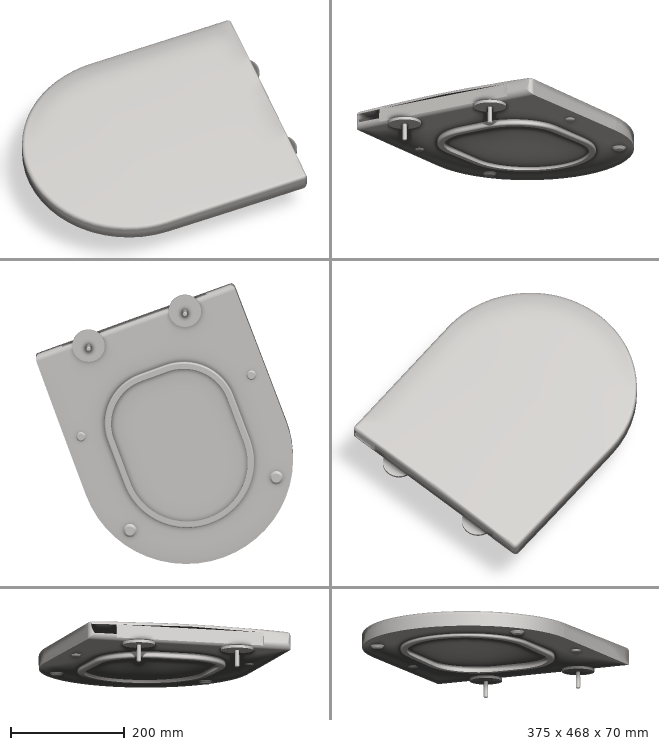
import cadquery as cq
import math


LID_HALF_WIDTH = 187.5
LID_REAR_NARROWING = 1.5
LID_REAR_Y = 14.5
LID_REAR_TOP_Y = 11.0
LID_FRONT_Y = -439.5
HINGE_RELIEF_HALF_WIDTH = 135.2
HINGE_RELIEF_Y = 12.5
LID_HEIGHT = 36.0
LID_CORNER_RADIUS = 9.5
LID_REAR_ROUND = 10.5
LID_TOP_ROUND = 5.5
TRIM_MARGIN = 4.5
CROWN_RADIUS_ACROSS = 3556.5
CROWN_RADIUS_ALONG = 11698.5
CROWN_SWEEP = 4.0
CROWN_MARGIN = 47.0

RIM_HALF_WIDTH = 118.0
RIM_REAR_Y = -78.5
RIM_FRONT_Y = -374.5
RIM_REAR_DEPTH = 10.5
RIM_FRONT_DEPTH = 5.0
RIM_WALL = 11.5
RIM_CORNER_RADIUS = 93.5
RIM_ROUND = 3.0

HINGE_X = 90.5
HINGE_PLATE_DIAMETER = 57.0
HINGE_PLATE_THICKNESS = 4.5
PIN_COLLAR_DIAMETER = 7.5
PIN_SHANK_DIAMETER = 8.0
PIN_COLLAR_END_Z = -13.5
PIN_END_Z = -34.0
PIN_TIP_CHAMFER = 1.5

FRONT_BUMPER_X = 137.0
FRONT_BUMPER_Y = -337.0
FRONT_BUMPER_DIAMETER = 24.0
FRONT_BUMPER_HEIGHT = 4.5
REAR_BUMPER_X = 159.5
REAR_BUMPER_Y = -149.5
REAR_BUMPER_DIAMETER = 17.0
REAR_BUMPER_HEIGHT = 3.0
BUMPER_CHAMFER_SHARE = 0.8

SIDES = (-1, 1)


def crowned_block():
    """Block whose top curves down gently toward both sides and toward the front."""
    half_width = LID_HALF_WIDTH + CROWN_MARGIN
    side_drop = CROWN_RADIUS_ACROSS - math.sqrt(CROWN_RADIUS_ACROSS**2 - half_width**2)
    return (
        cq.Workplane("XZ", origin=(0, LID_REAR_Y, 0))
        .moveTo(-half_width, -CROWN_MARGIN)
        .lineTo(-half_width, LID_HEIGHT - side_drop)
        .threePointArc((0, LID_HEIGHT), (half_width, LID_HEIGHT - side_drop))
        .lineTo(half_width, -CROWN_MARGIN)
        .close()
        .revolve(
            CROWN_SWEEP,
            (0, LID_HEIGHT - CROWN_RADIUS_ALONG, 0),
            (1, LID_HEIGHT - CROWN_RADIUS_ALONG, 0),
        )
    )


def lid_prism():
    """Plan outline: slightly bulging sides that run smoothly into a semicircular front."""
    arc_y = LID_FRONT_Y + LID_HALF_WIDTH
    side_middle = (LID_HALF_WIDTH - LID_REAR_NARROWING / 4, (LID_REAR_Y + arc_y) / 2)
    rear_half_width = LID_HALF_WIDTH - LID_REAR_NARROWING
    arc_reach = LID_HALF_WIDTH * math.sin(math.radians(45))
    return (
        cq.Workplane("XY")
        .moveTo(rear_half_width, LID_REAR_Y)
        .threePointArc(side_middle, (LID_HALF_WIDTH, arc_y))
        .threePointArc((arc_reach, arc_y - arc_reach), (0, LID_FRONT_Y))
        .threePointArc((-arc_reach, arc_y - arc_reach), (-LID_HALF_WIDTH, arc_y))
        .threePointArc((-side_middle[0], side_middle[1]), (-rear_half_width, LID_REAR_Y))
        .close()
        .extrude(LID_HEIGHT + TRIM_MARGIN)
        .edges("|Z and >Y")
        .fillet(LID_CORNER_RADIUS)
    )


def rear_profile_block():
    """Block that leans the rear wall forward and rounds its lower edge."""
    round_center_y = LID_REAR_Y - LID_REAR_ROUND
    round_offset = LID_REAR_ROUND * math.sin(math.radians(45))
    front_y = LID_FRONT_Y - TRIM_MARGIN
    top_z = LID_HEIGHT + TRIM_MARGIN
    return (
        cq.Workplane("YZ")
        .moveTo(front_y, 0)
        .lineTo(round_center_y, 0)
        .threePointArc(
            (round_center_y + round_offset, LID_REAR_ROUND - round_offset), (LID_REAR_Y, LID_REAR_ROUND)
        )
        .lineTo(LID_REAR_TOP_Y, top_z)
        .lineTo(front_y, top_z)
        .close()
        .extrude(LID_HALF_WIDTH + TRIM_MARGIN, both=True)
    )


def hinge_relief():
    """Flat cut that takes the bulge off the rear wall above the hinges."""
    return cq.Workplane("XY", origin=(0, HINGE_RELIEF_Y, 0)).box(
        2 * HINGE_RELIEF_HALF_WIDTH, TRIM_MARGIN, LID_HEIGHT, centered=(True, False, False)
    )


def make_lid():
    """Lid with a crowned top and a rounded top edge."""
    lid = lid_prism().intersect(rear_profile_block()).intersect(crowned_block())
    return lid.faces(">Z").edges().fillet(LID_TOP_ROUND).cut(hinge_relief())


def rim_prism(inset):
    """The rim's plan outline moved inward by the inset: a semicircular front and large rear corners."""
    half_width = RIM_HALF_WIDTH - inset
    rear_y = RIM_REAR_Y - inset
    front_y = RIM_FRONT_Y + inset
    arc_y = front_y + half_width
    return (
        cq.Workplane("XY")
        .moveTo(-half_width, rear_y)
        .lineTo(-half_width, arc_y)
        .threePointArc((0, front_y), (half_width, arc_y))
        .lineTo(half_width, rear_y)
        .close()
        .extrude(-RIM_REAR_DEPTH)
        .edges("|Z and >Y")
        .fillet(RIM_CORNER_RADIUS - inset)
    )


def make_seat_rim():
    """Rim around the seat opening, deeper at the rear than at the front."""
    sloped_block = (
        cq.Workplane("YZ")
        .polyline(
            [
                (RIM_REAR_Y, 0),
                (RIM_REAR_Y, -RIM_REAR_DEPTH),
                (RIM_FRONT_Y, -RIM_FRONT_DEPTH),
                (RIM_FRONT_Y, 0),
            ]
        )
        .close()
        .extrude(RIM_HALF_WIDTH, both=True)
    )
    rim = rim_prism(0).intersect(sloped_block)
    rim = rim.faces("<Z").edges().fillet(RIM_ROUND)
    return rim.cut(rim_prism(RIM_WALL))


def make_hinge_plate(side):
    """Round plate under the lid's rear edge."""
    return (
        cq.Workplane("XY", origin=(side * HINGE_X, 0, 0))
        .circle(HINGE_PLATE_DIAMETER / 2)
        .extrude(-HINGE_PLATE_THICKNESS)
    )


def make_hinge_pin(side):
    """Pin under the hinge plate: a short collar above a slightly thicker shank."""
    collar = (
        cq.Workplane("XY", origin=(side * HINGE_X, 0, PIN_COLLAR_END_Z))
        .circle(PIN_COLLAR_DIAMETER / 2)
        .extrude(-HINGE_PLATE_THICKNESS - PIN_COLLAR_END_Z)
    )
    shank = (
        cq.Workplane("XY", origin=(side * HINGE_X, 0, PIN_END_Z))
        .circle(PIN_SHANK_DIAMETER / 2)
        .extrude(PIN_COLLAR_END_Z - PIN_END_Z)
        .faces("<Z")
        .chamfer(PIN_TIP_CHAMFER)
    )
    return collar.union(shank)


def make_bumper(x, y, diameter, height):
    """Low round pad with a bevelled lower edge."""
    return (
        cq.Workplane("XY", origin=(x, y, 0))
        .circle(diameter / 2)
        .extrude(-height)
        .faces("<Z")
        .chamfer(height * BUMPER_CHAMFER_SHARE)
    )


lid = make_lid()
seat_rim = make_seat_rim()
hinge_plates = [make_hinge_plate(side) for side in SIDES]
hinge_pins = [make_hinge_pin(side) for side in SIDES]
front_bumpers = [
    make_bumper(side * FRONT_BUMPER_X, FRONT_BUMPER_Y, FRONT_BUMPER_DIAMETER, FRONT_BUMPER_HEIGHT)
    for side in SIDES
]
rear_bumpers = [
    make_bumper(side * REAR_BUMPER_X, REAR_BUMPER_Y, REAR_BUMPER_DIAMETER, REAR_BUMPER_HEIGHT)
    for side in SIDES
]

bodies = [lid, seat_rim, *hinge_plates, *hinge_pins, *front_bumpers, *rear_bumpers]
result = cq.Compound.makeCompound([body.val() for body in bodies])